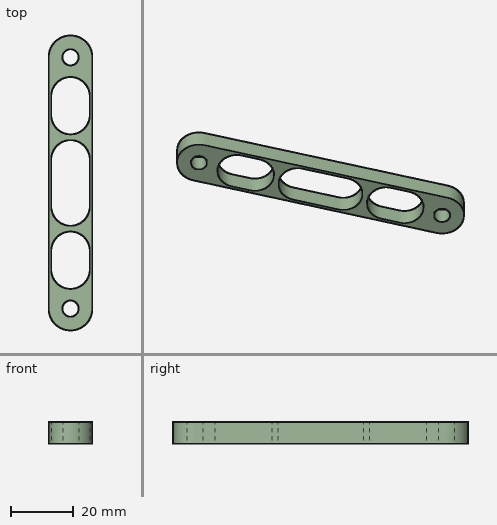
import cadquery as cq

hole_spacing = 80.0
bar_width = 14.0
bar_length = hole_spacing + bar_width
bar_thickness = 7.0
hole_diameter = 5.1

side_wall = 0.9
window_width = bar_width - 2 * side_wall
middle_window_length = 27.2
end_window_length = 18.2
web_between_windows = 1.9
end_window_offset = (middle_window_length + end_window_length) / 2 + web_between_windows


def rounded_prism(length, width, center_y):
    """Round-ended prism along Y, as thick as the bar and centred on Z = 0."""
    return (
        cq.Workplane("XY")
        .workplane(offset=-bar_thickness / 2)
        .center(0, center_y)
        .slot2D(length, width, 90)
        .extrude(bar_thickness)
    )


def mounting_hole(center_y):
    """Through hole concentric with a rounded end of the bar."""
    return (
        cq.Workplane("XY")
        .workplane(offset=-bar_thickness / 2)
        .center(0, center_y)
        .circle(hole_diameter / 2)
        .extrude(bar_thickness)
    )


result = rounded_prism(bar_length, bar_width, 0)
result = result.cut(rounded_prism(middle_window_length, window_width, 0))
for side in (-1, 1):
    result = result.cut(rounded_prism(end_window_length, window_width, side * end_window_offset))
    result = result.cut(mounting_hole(side * hole_spacing / 2))